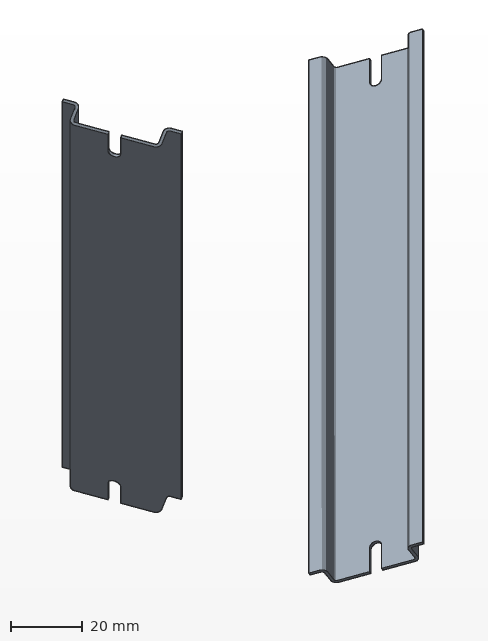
import cadquery as cq

length = 176.0
rail_width = 35.0
rail_depth = 7.5
channel_width = 27.0
thickness = 1.0
inner_bend_radius = 0.8
slot_width = 3.7
slot_depth = 9.9

outer_bend_radius = inner_bend_radius + thickness
half_rail = rail_width / 2
half_channel = channel_width / 2
half_inside = half_channel - thickness


def make_rail():
    """Extrude the hat profile along Z, then round both sides of its four bends."""
    outline = [
        (-half_channel, 0),
        (half_channel, 0),
        (half_channel, rail_depth - thickness),
        (half_rail, rail_depth - thickness),
        (half_rail, rail_depth),
        (half_inside, rail_depth),
        (half_inside, thickness),
        (-half_inside, thickness),
        (-half_inside, rail_depth),
        (-half_rail, rail_depth),
        (-half_rail, rail_depth - thickness),
        (-half_channel, rail_depth - thickness),
    ]
    inner_corners = [
        (half_channel, rail_depth - thickness),
        (-half_channel, rail_depth - thickness),
        (half_inside, thickness),
        (-half_inside, thickness),
    ]
    outer_corners = [
        (half_channel, 0),
        (-half_channel, 0),
        (half_inside, rail_depth),
        (-half_inside, rail_depth),
    ]
    rail = cq.Workplane("XY").polyline(outline).close().extrude(length)
    for corners, radius in ((inner_corners, inner_bend_radius), (outer_corners, outer_bend_radius)):
        for x, y in corners:
            middle = (x, y, length / 2)
            rail = rail.edges(cq.selectors.NearestToPointSelector(middle)).fillet(radius)
    return rail


def make_end_slot(end_z, inward):
    """Round-ended slot cutter, open at end_z; inward is the Z direction into the rail."""
    radius = slot_width / 2
    tip_z = end_z + inward * slot_depth
    tangent_z = tip_z - inward * radius
    return (
        cq.Workplane("XZ")
        .moveTo(-radius, end_z)
        .lineTo(-radius, tangent_z)
        .threePointArc((0, tip_z), (radius, tangent_z))
        .lineTo(radius, end_z)
        .close()
        .extrude(-rail_depth)
    )


result = make_rail()
for end_z, inward in ((0, 1), (length, -1)):
    result = result.cut(make_end_slot(end_z, inward))